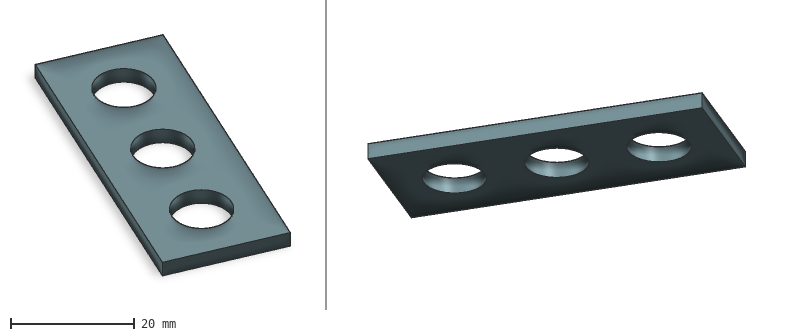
import cadquery as cq

length = 57.15
width = 22.25
thickness = 2.75

hole_diameter = 10.4
hole_count = 3
hole_spacing = 17.5

plate = cq.Workplane("XY").box(length, width, thickness)

result = (
    plate.faces(">Z")
    .workplane()
    .rarray(hole_spacing, 0.6, hole_count, 1)
    .hole(hole_diameter)
)